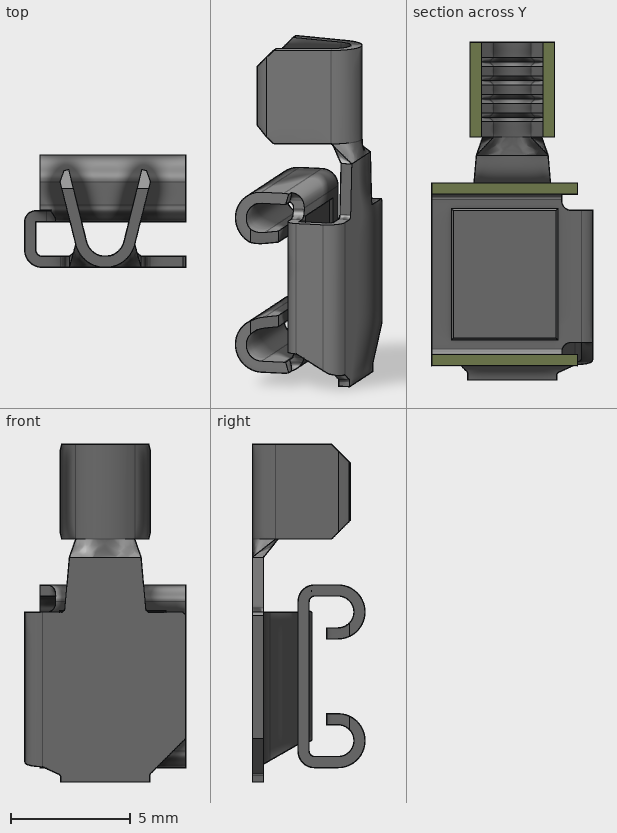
import cadquery as cq
import math

sheet = 0.47
overall_depth = 4.7
half_width = 3.365
plate_top = 7.09

foot_half_width = 1.86
foot_fillet = 0.12
left_slope_top_z = 0.64
left_slope_end_z = 0.29
right_slope_top_z = 1.83
shoulder_chamfer = 0.13
neck_base_half_width = 1.7
neck_base_fillet = 0.18
neck_top_half_width = 1.5
neck_top = 9.38

front_bend_radius = 0.74
back_bend_radius = sheet
wall_bottom = 0.77
wall_slope_start_y = 0.5
wall_back_bottom = 1.57

clip_left = -2.73
clip_front = 1.9
clip_back = clip_front + sheet
clip_mid = 4.415
clip_half_height = 3.815
clip_bend_radius = 0.7
roll_radius = 1.13
roll_axis_y = overall_depth - roll_radius
roll_tip_y = 3.1
roll_lead_start_y = 4.05
clip_mid_x = (clip_left + half_width) / 2

notch_right = -2.07
notch_radius = 0.38
notch_wall_angle = 17

panel_width = 4.44
panel_height = 5.48
panel_offset = 0.12
panel_side_angle = 34

barrel_bottom = 10.14
barrel_top = 14.1
barrel_radius = 1.27
leg_angle = math.radians(14)
leg_bevel_start = 2.7
leg_length = 3.1
leg_tip_thickness = 0.2
leg_corner_y = 3.3

groove_count = 4
groove_pitch = 0.77
groove_width = 0.37
groove_depth = 0.18
groove_cutter_half_height = 0.3
groove_end_y = 3.08


def prism_along_x(points, x_start, x_end):
    """Extrude a polygon of (y, z) points between two X positions."""
    return cq.Workplane("YZ", origin=(x_start, 0, 0)).polyline(points).close().extrude(x_end - x_start)


def front_plate():
    right_slope_end_z = right_slope_top_z - (half_width - foot_half_width)
    outline = [
        (-foot_half_width, 0),
        (foot_half_width, 0),
        (foot_half_width, right_slope_end_z),
        (half_width, right_slope_top_z),
        (half_width, plate_top - shoulder_chamfer),
        (half_width - shoulder_chamfer, plate_top),
        (neck_base_half_width, plate_top),
        (neck_top_half_width, neck_top),
        (-neck_top_half_width, neck_top),
        (-neck_base_half_width, plate_top),
        (front_bend_radius - half_width, plate_top),
        (front_bend_radius - half_width, left_slope_top_z),
        (-foot_half_width, left_slope_end_z),
    ]
    plate = cq.Workplane("XZ").polyline(outline).close().extrude(-sheet)
    inside_corners = [
        (-foot_half_width, left_slope_end_z, foot_fillet),
        (foot_half_width, right_slope_end_z, foot_fillet),
        (-neck_base_half_width, plate_top, neck_base_fillet),
        (neck_base_half_width, plate_top, neck_base_fillet),
    ]
    for x, z, radius in inside_corners:
        corner = cq.selectors.NearestToPointSelector((x, sheet / 2, z))
        plate = plate.edges(corner).fillet(radius)
    return plate


def side_wall():
    left = -half_width
    front_bend_x = left + front_bend_radius
    inner_left = left + sheet
    back_end_x = notch_right - notch_radius
    wall = (
        cq.Workplane("XY")
        .moveTo(front_bend_x, 0)
        .radiusArc((left, front_bend_radius), front_bend_radius)
        .lineTo(left, clip_back - back_bend_radius)
        .radiusArc((left + back_bend_radius, clip_back), back_bend_radius)
        .lineTo(back_end_x, clip_back)
        .lineTo(back_end_x, clip_front)
        .lineTo(inner_left, clip_front)
        .lineTo(inner_left, front_bend_radius)
        .radiusArc((front_bend_x, sheet), sheet - front_bend_radius)
        .close()
        .extrude(plate_top)
    )
    below_wall = [
        (0, 0),
        (clip_back, 0),
        (clip_back, wall_back_bottom),
        (clip_front, wall_back_bottom),
        (wall_slope_start_y, wall_bottom),
        (0, left_slope_top_z),
    ]
    return wall.cut(prism_along_x(below_wall, left, back_end_x))


def clip_hook():
    """Upper half of the clip section, in (y, z)."""
    top = clip_mid + clip_half_height
    bend_z = top - clip_bend_radius
    bend_y = clip_front + clip_bend_radius
    roll_bottom = top - 2 * roll_radius
    roll_z = top - roll_radius
    inner_bend = clip_bend_radius - sheet
    inner_roll = roll_radius - sheet
    return (
        cq.Workplane("YZ", origin=(clip_left, 0, 0))
        .moveTo(clip_front, clip_mid)
        .lineTo(clip_front, bend_z)
        .radiusArc((bend_y, top), clip_bend_radius)
        .lineTo(roll_axis_y, top)
        .threePointArc((roll_axis_y + roll_radius, roll_z), (roll_axis_y, roll_bottom))
        .lineTo(roll_tip_y, roll_bottom)
        .lineTo(roll_tip_y, roll_bottom + sheet)
        .lineTo(roll_axis_y, roll_bottom + sheet)
        .threePointArc((roll_axis_y + inner_roll, roll_z), (roll_axis_y, top - sheet))
        .lineTo(bend_y, top - sheet)
        .radiusArc((clip_back, bend_z), -inner_bend)
        .lineTo(clip_back, clip_mid)
        .close()
        .extrude(half_width - clip_left)
    )


def relief_notch(wall_edge_z, direction):
    """Rounded notch from the side wall's edge to the bend of the upper (+1) or lower (-1) roll."""
    roll_edge_z = clip_mid + direction * clip_half_height
    height = abs(roll_edge_z - wall_edge_z)
    length = 2 * (notch_right - clip_left)
    slot = (
        cq.Workplane("XY")
        .box(length, clip_back + clip_bend_radius, height)
        .edges("|Y and >X")
        .fillet(notch_radius)
        .translate((clip_left, (clip_back + clip_bend_radius) / 2, (roll_edge_z + wall_edge_z) / 2))
    )
    bend_axis_y = clip_front + clip_bend_radius
    bend_axis_z = roll_edge_z - direction * clip_bend_radius
    reach = 2 * clip_bend_radius
    wall_lean = reach * math.tan(math.radians(notch_wall_angle))
    bend_side = [
        (bend_axis_y, bend_axis_z),
        (bend_axis_y - wall_lean, bend_axis_z + direction * reach),
        (0, bend_axis_z + direction * reach),
        (0, bend_axis_z - direction * reach),
        (bend_axis_y, bend_axis_z - direction * reach),
    ]
    return slot.intersect(prism_along_x(bend_side, -half_width, 0))


def panel_block(y):
    """Flat block with sloping sides rising toward +Y from the given position."""
    base = cq.Plane(origin=(clip_mid_x, y, clip_mid), xDir=(-1, 0, 0), normal=(0, 1, 0))
    return cq.Workplane(base).rect(panel_width, panel_height).extrude(panel_offset, taper=panel_side_angle)


def roll_lead_in(end_x, inward):
    """45-degree corner removed from one end of both roll tips."""
    run = roll_lead_start_y - roll_tip_y
    tips_half_height = clip_half_height - roll_radius
    return (
        cq.Workplane("XY", origin=(0, 0, clip_mid - tips_half_height))
        .moveTo(end_x, roll_lead_start_y)
        .lineTo(end_x + inward * run, roll_tip_y)
        .lineTo(end_x, roll_tip_y)
        .close()
        .extrude(2 * tips_half_height)
    )


def tab_clip():
    upper = clip_hook()
    clip = upper.union(upper.mirror("XY", (0, 0, clip_mid)))
    clip = clip.union(panel_block(clip_back)).cut(panel_block(clip_front))
    clip = clip.cut(relief_notch(plate_top, 1)).cut(relief_notch(wall_back_bottom, -1))
    return clip.cut(roll_lead_in(clip_left, 1)).cut(roll_lead_in(half_width, -1))


def leg_point(side, depth, run):
    """Point on a leg: depth in from its outer face, run along it from the end of the U bend."""
    radius = barrel_radius - depth
    x = radius * math.cos(leg_angle) + run * math.sin(leg_angle)
    y = barrel_radius - radius * math.sin(leg_angle) + run * math.cos(leg_angle)
    return (side * x, y)


def barrel_cavity(depth):
    """Closed (x, y) outline of the U at a depth in from its outer face."""
    return (
        cq.Workplane("XY")
        .moveTo(*leg_point(-1, depth, leg_length))
        .lineTo(*leg_point(-1, depth, 0))
        .threePointArc((0, depth), leg_point(1, depth, 0))
        .lineTo(*leg_point(1, depth, leg_length))
        .close()
    )


def grip_groove(z):
    """Sharp-rimmed cutter for a V groove around the inside of the barrel, centred at a height."""
    taper = math.degrees(math.atan2(groove_depth, groove_width / 2))
    half = barrel_cavity(sheet - groove_depth).extrude(groove_cutter_half_height, taper=taper)
    ring = half.union(half.mirror("XY"))
    limit = cq.Workplane("XY").box(2 * half_width, 2 * groove_end_y, 2 * groove_cutter_half_height)
    return ring.intersect(limit).translate((0, 0, z))


def crimp_barrel():
    bevel_depth = sheet - leg_tip_thickness
    height = barrel_top - barrel_bottom
    barrel = (
        cq.Workplane("XY", origin=(0, 0, barrel_bottom))
        .moveTo(*leg_point(-1, 0, 0))
        .threePointArc((0, 0), leg_point(1, 0, 0))
        .lineTo(*leg_point(1, 0, leg_bevel_start))
        .lineTo(*leg_point(1, bevel_depth, leg_length))
        .lineTo(*leg_point(1, sheet, leg_length))
        .lineTo(*leg_point(1, sheet, 0))
        .threePointArc((0, sheet), leg_point(-1, sheet, 0))
        .lineTo(*leg_point(-1, sheet, leg_length))
        .lineTo(*leg_point(-1, bevel_depth, leg_length))
        .lineTo(*leg_point(-1, 0, leg_bevel_start))
        .close()
        .extrude(height)
    )
    for edge_z, inward in ((barrel_bottom, 1), (barrel_top, -1)):
        corner = [
            (leg_corner_y, edge_z),
            (leg_corner_y + height / 2, edge_z),
            (leg_corner_y + height / 2, edge_z + inward * height / 2),
        ]
        barrel = barrel.cut(prism_along_x(corner, -half_width, half_width))
    barrel_mid = (barrel_bottom + barrel_top) / 2
    for index in range(groove_count):
        offset = (index - (groove_count - 1) / 2) * groove_pitch
        barrel = barrel.cut(grip_groove(barrel_mid + offset))
    return barrel


def transition():
    """Blend from the flat neck to the U of the crimp barrel."""

    def line(start, end):
        return cq.Edge.makeLine(cq.Vector(*start), cq.Vector(*end))

    def neck_corner(side, depth):
        return (side * neck_top_half_width, depth, neck_top)

    def barrel_corner(side, depth):
        return (*leg_point(side, depth, 0), barrel_bottom)

    faces = []
    neck_edges = []
    barrel_edges = []
    for depth in (0, sheet):
        neck_edges.append(line(neck_corner(-1, depth), neck_corner(1, depth)))
        arc_points = [barrel_corner(-1, depth), (0, depth, barrel_bottom), barrel_corner(1, depth)]
        barrel_edges.append(cq.Edge.makeThreePointArc(*[cq.Vector(*point) for point in arc_points]))
    for side in (-1, 1):
        neck_edges.append(line(neck_corner(side, 0), neck_corner(side, sheet)))
        barrel_edges.append(line(barrel_corner(side, 0), barrel_corner(side, sheet)))
    for neck_edge, barrel_edge in zip(neck_edges, barrel_edges):
        faces.append(cq.Face.makeRuledSurface(neck_edge, barrel_edge))
    for edges in (neck_edges, barrel_edges):
        faces.append(cq.Face.makeFromWires(cq.Wire.assembleEdges(edges)))
    return cq.Workplane(cq.Solid.makeSolid(cq.Shell.makeShell(faces)).fix())


result = front_plate().union(side_wall()).union(tab_clip()).union(transition()).union(crimp_barrel())